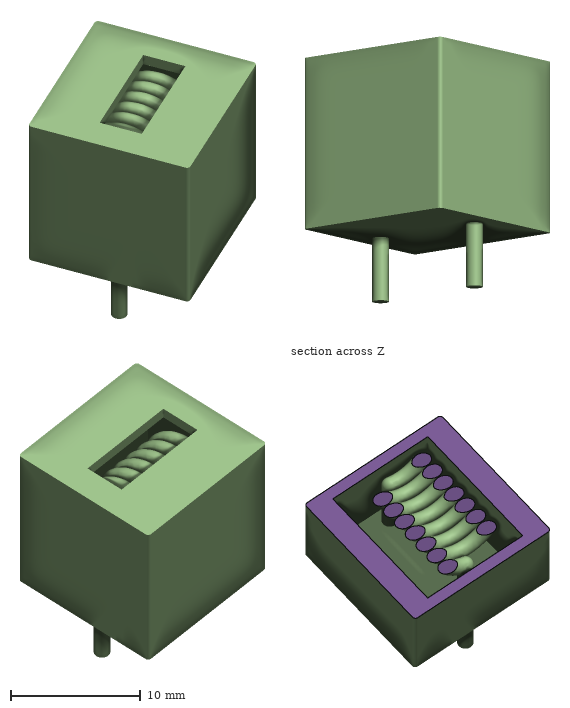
import cadquery as cq
import math

CASE_X = 13.5
CASE_Y = 13.8
CASE_Z = 13.5
CORNER_RADIUS = 0.3
WALL_X = 2.07
WALL_Y = 1.0
WALL_Z = 0.92
WINDOW_X = 3.53
WINDOW_Y = 8.85

WIRE_DIAMETER = 1.3
WIRE_RADIUS = WIRE_DIAMETER / 2
TURNS = 7
PITCH = 1.35
COIL_LENGTH = TURNS * PITCH
COIL_RADIUS = 3.0
COIL_AXIS_X = -WIRE_RADIUS
COIL_AXIS_Z = 8.6
LEG_DROP = 5.0

START_ANGLE = math.degrees(math.asin(-COIL_AXIS_X / COIL_RADIUS))
LEG_TOP_Z = COIL_AXIS_Z - COIL_RADIUS * math.cos(math.radians(START_ANGLE))
FIRST_LEG_Y = -COIL_LENGTH / 2
LEG_POINTS = [(0, FIRST_LEG_Y), (0, -FIRST_LEG_Y)]


def upright_block(size_x, size_y, bottom_z, height):
    return cq.Workplane("XY", origin=(0, 0, bottom_z)).rect(size_x, size_y).extrude(height)


def legs(bottom_z, top_z):
    """Round bars at both leg positions."""
    return (
        cq.Workplane("XY", origin=(0, 0, bottom_z))
        .pushPoints(LEG_POINTS)
        .circle(WIRE_RADIUS)
        .extrude(top_z - bottom_z)
    )


def make_case():
    block = upright_block(CASE_X, CASE_Y, 0, CASE_Z).edges("|Z").fillet(CORNER_RADIUS)
    cavity = upright_block(
        CASE_X - 2 * WALL_X,
        CASE_Y - 2 * WALL_Y,
        WALL_Z,
        CASE_Z - 2 * WALL_Z,
    )
    window = upright_block(WINDOW_X, WINDOW_Y, CASE_Z - WALL_Z, WALL_Z)
    leg_holes = legs(0, WALL_Z)
    return block.cut(cavity).cut(window).cut(leg_holes)


def make_winding():
    """Helix wound along Z, then laid along +Y with its start above the first leg."""
    helix = cq.Wire.makeHelix(PITCH, COIL_LENGTH, COIL_RADIUS)
    climb = PITCH / (2 * math.pi * COIL_RADIUS)
    start = cq.Plane(origin=(COIL_RADIUS, 0, 0), xDir=(1, 0, 0), normal=(0, 1, climb))
    winding = cq.Workplane(start).circle(WIRE_RADIUS).sweep(helix, isFrenet=True)
    return (
        winding.rotate((0, 0, 0), (0, 0, 1), 90 - START_ANGLE)
        .rotate((0, 0, 0), (1, 0, 0), -90)
        .translate((COIL_AXIS_X, FIRST_LEG_Y, COIL_AXIS_Z))
    )


def make_elbows():
    """Balls that round off the corners between the legs and the winding."""
    return cq.Workplane("XY", origin=(0, 0, LEG_TOP_Z)).pushPoints(LEG_POINTS).sphere(WIRE_RADIUS)


def make_coil():
    return make_winding().union(legs(-LEG_DROP, LEG_TOP_Z)).union(make_elbows())


case = make_case()
coil = make_coil()

result = cq.Compound.makeCompound([case.solids().val(), coil.solids().val()])